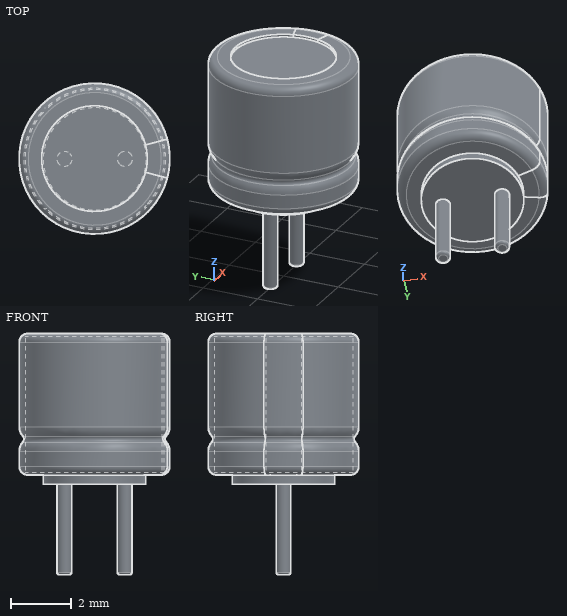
import cadquery as cq
import math


outer_diameter = 5.0
top_flat_diameter = 4.4
window_diameter = 3.5
body_top = 5.0
body_bottom = 0.3
edge_radius = (outer_diameter - top_flat_diameter) / 2
lip_thickness = 0.1
stripe_angle = 30.0

neck_edge_diameter = 4.77
neck_bottom = 1.4
neck_top = 1.6
shoulder_height = edge_radius

core_diameter = 4.6
plug_diameter = 3.4

lead_diameter = 0.5
lead_length = 3.0
lead_spacing = 2.0
lead_tip_radius = 0.1

core_bottom = body_bottom + lip_thickness
core_top = body_top - lip_thickness


def disc(diameter, bottom, top):
    return cq.Workplane("XY").workplane(offset=bottom).circle(diameter / 2).extrude(top - bottom)


def sleeve_profile():
    """Half section of the sleeve shape, without its cavity and openings."""
    radius = outer_diameter / 2
    flat_radius = radius - edge_radius
    corner_mid = flat_radius + edge_radius * math.sqrt(0.5)
    corner_rise = edge_radius * (1 - math.sqrt(0.5))

    neck_radius = neck_edge_diameter / 2
    shoulder_inset = radius - neck_radius
    shoulder_radius = (shoulder_height**2 + shoulder_inset**2) / (2 * shoulder_inset)
    sweep = math.asin(shoulder_height / shoulder_radius)
    shoulder_mid = radius - shoulder_radius * (1 - math.cos(sweep / 2))
    shoulder_mid_rise = shoulder_radius * math.sin(sweep / 2)
    shoulder_bottom = neck_bottom - shoulder_height
    shoulder_top = neck_top + shoulder_height

    neck_half_height = (neck_top - neck_bottom) / 2
    neck_depth = neck_half_height * math.tan(sweep / 2)
    neck_middle = neck_bottom + neck_half_height

    return (
        cq.Workplane("XZ")
        .moveTo(0, body_bottom)
        .lineTo(flat_radius, body_bottom)
        .threePointArc((corner_mid, body_bottom + corner_rise), (radius, body_bottom + edge_radius))
        .lineTo(radius, shoulder_bottom)
        .threePointArc((shoulder_mid, shoulder_bottom + shoulder_mid_rise), (neck_radius, neck_bottom))
        .threePointArc((neck_radius - neck_depth, neck_middle), (neck_radius, neck_top))
        .threePointArc((shoulder_mid, shoulder_top - shoulder_mid_rise), (radius, shoulder_top))
        .lineTo(radius, body_top - edge_radius)
        .threePointArc((corner_mid, body_top - corner_rise), (flat_radius, body_top))
        .lineTo(0, body_top)
        .close()
    )


def sleeve_sector(start_angle, sweep_angle):
    """Sector of the hollow sleeve, counted counterclockwise from +X."""
    sector = (
        sleeve_profile()
        .revolve(sweep_angle, (0, 0, 0), (0, 1, 0))
        .rotate((0, 0, 0), (0, 0, 1), start_angle)
    )
    sector = sector.cut(disc(core_diameter, core_bottom, core_top))
    sector = sector.cut(disc(window_diameter, core_top, body_top))
    return sector.cut(disc(plug_diameter, body_bottom, core_bottom)).solids()


def make_lead(x):
    lead = disc(lead_diameter, -lead_length, 0).translate((x, 0, 0))
    return lead.faces("<Z").edges().fillet(lead_tip_radius)


stripe = sleeve_sector(-stripe_angle / 2, stripe_angle)
sleeve = sleeve_sector(stripe_angle / 2, 360 - stripe_angle)
core = disc(core_diameter, core_bottom, core_top)
plug = disc(plug_diameter, 0, core_bottom)
leads = [make_lead(side * lead_spacing / 2) for side in (-1, 1)]

result = cq.Compound.makeCompound(
    [sleeve.val(), stripe.val(), core.val(), plug.val(), *[lead.val() for lead in leads]]
)